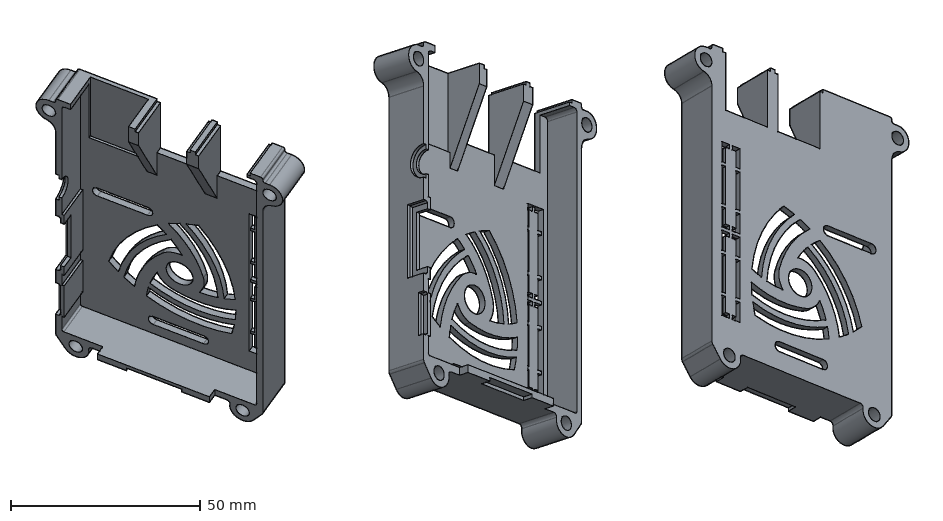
import cadquery as cq
import math


case_width = 62.0
case_length = 90.68
case_depth = 12.5
side_wall = 1.9
bottom_wall = 2.2
top_wall = 2.0
floor_thickness = 2.0
thin_floor = 1.25
top_corner_radius = 0.7
bottom_corner_radius = 1.5
cavity_top_radius = 1.0
cavity_bottom_radius = 0.6

half_width = case_width / 2
cavity_half_width = half_width - side_wall
cavity_top = case_length - top_wall

lug_radius = 3.89
lug_hole_diameter = 4.0
upper_lug_offset = 2.0
lower_lug_overhang = 5.57
upper_lug_x = half_width + upper_lug_offset
upper_lug_z = 85.13
lower_lug_x = 24.95
lower_lug_z = lug_radius - lower_lug_overhang
upper_lug_lower_fillet = 3.4
upper_lug_upper_fillet = 0.7
lower_lug_fillet = 1.0

usb_bay_width = 14.4
usb_bay_lefts = (-6.2, 11.8)
usb_bay_bottom = 72.3
usb_rebate = 1.0
ethernet_left = -26.5
ethernet_right = -9.17
ethernet_bottom = 68.06
divider_foot = 63.6
divider_shoulder = 84.8

tab_left = -16.9
tab_right = 16.6
tab_height = 3.0
tab_notch_width = 16.5
tab_notch_depth = 1.0

plug_recess = 1.0
plug_taper = 0.5
plug_pad = 0.7
hdmi_bottom = 25.0
hdmi_top = 45.8
hdmi_depth = 5.8
hdmi_pad_bottom = 23.9
hdmi_pad_top = 47.1
hdmi_hole_bottom = 27.2
hdmi_hole_top = 43.6
hdmi_hole_depth = 3.86
power_bottom = 7.8
power_top = 19.9
power_depth = 1.93
jack_z = 56.9
jack_recess_radius = 4.75
jack_hole_radius = 3.5

header_left = 21.37
header_right = 27.5
header_bottom = 9.57
header_top = 62.3
header_gap = 1.25
header_bridge = 1.0
bridge_inset = 6.6

slot_length = 18.0
slot_width = 3.0
slot_centers = ((-16.5, 48.35), (0.2, 7.15))
fan_x = 0.55
fan_z = 29.15
fan_hole_diameter = 8.0
blade_count = 3
blade_center_distance = 21.83
blade_center_angle = 195.0
blade_rings = ((29.2, 32.6), (34.5, 37.9))
blade_outer_radius = blade_rings[1][1]
blade_end_radius = 25.4
fan_hub_radius = blade_rings[0][0] - blade_center_distance


def block(x0, x1, depth0, depth1, z0, z1):
    """Box between two X, two Z and two depths in front of the back face."""
    return cq.Workplane("XY").box(x1 - x0, depth1 - depth0, z1 - z0, centered=False).translate(
        (x0, -depth1, z0)
    )


def disc(x, z, radius, depth):
    """Cylinder along -Y starting at the back face."""
    return cq.Workplane("XZ").center(x, z).circle(radius).extrude(depth)


def lower_lug_web(side):
    """Web between the outer corner of the case and the lower lug, tangent to the lug."""
    dx = half_width - lower_lug_x
    dz = -lower_lug_z
    reach = math.hypot(dx, dz)
    tangent_angle = math.atan2(dz, dx) - math.acos(lug_radius / reach)
    tangent_x = lower_lug_x + lug_radius * math.cos(tangent_angle)
    tangent_z = lower_lug_z + lug_radius * math.sin(tangent_angle)
    points = [
        (side * half_width, 0),
        (side * tangent_x, tangent_z),
        (side * lower_lug_x, lower_lug_z),
        (side * lower_lug_x, bottom_wall),
        (side * half_width, bottom_wall),
    ]
    return cq.Workplane("XZ").polyline(points).close().extrude(case_depth)


def upper_lug_web(side):
    """Web joining the upper lug to the side of the case, flush with the top of the lug."""
    x0, x1 = sorted((side * cavity_half_width, side * upper_lug_x))
    return block(x0, x1, 0, case_depth, upper_lug_z, upper_lug_z + lug_radius)


def solid_body():
    """Case and lugs before hollowing, with the lugs blended into the case."""
    body = block(-half_width, half_width, 0, case_depth, 0, case_length)
    body = body.edges("|Y and >Z").fillet(top_corner_radius)
    for side in (-1, 1):
        body = body.union(disc(side * upper_lug_x, upper_lug_z, lug_radius, case_depth))
        body = body.union(upper_lug_web(side))
        body = body.union(disc(side * lower_lug_x, lower_lug_z, lug_radius, case_depth))
        body = body.union(lower_lug_web(side))

    upper_reach = math.sqrt(lug_radius**2 - upper_lug_offset**2)
    lower_reach = math.sqrt(lug_radius**2 - lower_lug_z**2)
    blends = (
        (half_width, upper_lug_z - upper_reach, upper_lug_lower_fillet),
        (half_width, upper_lug_z + lug_radius, upper_lug_upper_fillet),
        (half_width, 0, bottom_corner_radius),
        (lower_lug_x - lower_reach, 0, lower_lug_fillet),
    )
    for side in (-1, 1):
        for x, z, radius in blends:
            corner = cq.selectors.NearestToPointSelector((side * x, -case_depth / 2, z))
            body = body.edges("|Y").edges(corner).fillet(radius)
    return body


def cavity():
    room = block(
        -cavity_half_width, cavity_half_width, floor_thickness, case_depth, bottom_wall, cavity_top
    )
    room = room.edges("|Y and >Z").fillet(cavity_top_radius)
    return room.edges("|Y and <Z").fillet(cavity_bottom_radius)


def lug_holes():
    centers = []
    for side in (-1, 1):
        centers.append((side * upper_lug_x, upper_lug_z))
        centers.append((side * lower_lug_x, lower_lug_z))
    return cq.Workplane("XZ").pushPoints(centers).circle(lug_hole_diameter / 2).extrude(case_depth)


def divider(x0, x1):
    """Wall between two bays, sloping down to the floor away from the ports."""
    points = [
        (0, divider_foot),
        (-floor_thickness, divider_foot),
        (-case_depth, divider_shoulder),
        (-case_depth, case_length),
        (0, case_length),
    ]
    return cq.Workplane("YZ").polyline(points).close().extrude(x1 - x0).translate((x0, 0, 0))


def usb_bay(left):
    """Opening for one USB socket, with a rebate along its sides at the top edge."""
    right = left + usb_bay_width
    opening = block(left, right, 0, case_depth, usb_bay_bottom, case_length)
    rebate = block(
        left - usb_rebate, right + usb_rebate, 0, case_depth, case_length - usb_rebate, case_length
    )
    return opening.union(rebate)


def locking_tab():
    tip = case_depth + tab_height
    tab = block(tab_left, tab_right, case_depth, tip, 0, bottom_wall)
    notch = block(
        -tab_notch_width / 2, tab_notch_width / 2, case_depth, tip, 0, tab_notch_depth
    )
    return tab.cut(notch)


def plug_pocket(depth, bottom, top):
    """Recess for a plug in the left wall, open to the front, narrowing over its last part."""
    front = case_depth
    straight = block(
        -half_width, -half_width + plug_recess, front - depth, front, bottom, top
    )
    height = top - bottom
    taper = (
        cq.Workplane("YZ")
        .center(-front, (bottom + top) / 2)
        .rect(2 * depth, height)
        .workplane(offset=plug_taper)
        .rect(2 * (depth - plug_taper), height - 2 * plug_taper)
        .loft(combine=True)
        .translate((-half_width + plug_recess, 0, 0))
    )
    return straight.union(taper)


def wall_pad(bottom, top):
    """Thickening on the inside of the left wall behind a plug recess."""
    return block(
        -cavity_half_width, -cavity_half_width + plug_pad, 0, case_depth, bottom, top
    )


def hdmi_hole():
    return block(
        -half_width,
        -cavity_half_width + plug_pad,
        case_depth - hdmi_hole_depth,
        case_depth,
        hdmi_hole_bottom,
        hdmi_hole_top,
    )


def audio_jack():
    wall_face = cq.Workplane("YZ").center(-case_depth, jack_z)
    recess = wall_face.circle(jack_recess_radius).extrude(plug_recess)
    hole = wall_face.circle(jack_hole_radius).extrude(side_wall)
    return recess.union(hole).translate((-half_width, 0, 0))


def header_window():
    """Pocket over the pin header, cut through around two panels held by thin bridges."""
    middle_x = (header_left + header_right) / 2
    middle_z = (header_bottom + header_top) / 2
    half_bridge = header_bridge / 2
    pocket = block(
        header_left, header_right, thin_floor, floor_thickness, header_bottom, header_top
    )
    gaps = block(header_left, header_right, 0, thin_floor, header_bottom, header_top)
    gaps = gaps.cut(
        block(header_left, header_right, 0, thin_floor, middle_z - half_bridge, middle_z + half_bridge)
    )
    gaps = gaps.cut(
        block(middle_x - half_bridge, middle_x + half_bridge, 0, thin_floor, header_bottom, header_top)
    )
    for bottom, top in (
        (header_bottom, middle_z - half_bridge),
        (middle_z + half_bridge, header_top),
    ):
        gaps = gaps.cut(
            block(
                header_left + header_gap,
                header_right - header_gap,
                0,
                thin_floor,
                bottom + header_gap,
                top - header_gap,
            )
        )
        for z in (bottom + bridge_inset, top - bridge_inset):
            gaps = gaps.cut(
                block(header_left, header_right, 0, thin_floor, z - half_bridge, z + half_bridge)
            )
    return pocket.union(gaps)


def hub_side(turn):
    """Quarter beside the hub where a blade's inner slot follows the hub circle.

    It starts at the line from the blade's arc center through the hub center, where the hub
    circle touches the inner edge of the slot.
    """
    size = blade_center_distance
    quarter = block(0, size, 0, floor_thickness, -size, 0)
    line_angle = blade_center_angle - 180 + turn
    quarter = quarter.rotate((0, 0, 0), (0, 1, 0), -line_angle)
    return quarter.translate((fan_x, 0, fan_z))


def blade_slots(turn):
    """The two curved slots of one fan blade, trimmed by the arcs of the other blades."""

    def blade_disc(step, radius):
        angle = math.radians(blade_center_angle + turn + step)
        x = fan_x + blade_center_distance * math.cos(angle)
        z = fan_z + blade_center_distance * math.sin(angle)
        return disc(x, z, radius, floor_thickness)

    pitch = 360 / blade_count
    inner_ring, outer_ring = blade_rings
    slots = blade_disc(0, outer_ring[1]).cut(blade_disc(0, outer_ring[0]))
    hub = disc(fan_x, fan_z, fan_hub_radius, floor_thickness)
    rib = blade_disc(0, inner_ring[0]).cut(hub_side(turn)).union(hub)
    slots = slots.union(blade_disc(0, inner_ring[1]).cut(rib))
    slots = slots.intersect(blade_disc(pitch, blade_outer_radius))
    return slots.intersect(blade_disc(-pitch, blade_end_radius))


def floor_vents():
    vents = disc(fan_x, fan_z, fan_hole_diameter / 2, floor_thickness)
    for blade in range(blade_count):
        vents = vents.union(blade_slots(blade * 360 / blade_count))
    slots = cq.Workplane("XZ").pushPoints(slot_centers).slot2D(slot_length, slot_width)
    return vents.union(slots.extrude(floor_thickness))


case = solid_body().cut(cavity()).cut(lug_holes())

first_usb, second_usb = usb_bay_lefts
case = case.union(divider(ethernet_right, first_usb))
case = case.union(divider(first_usb + usb_bay_width, second_usb))
for bay_left in usb_bay_lefts:
    case = case.cut(usb_bay(bay_left))
case = case.cut(
    block(ethernet_left, ethernet_right, thin_floor, case_depth, ethernet_bottom, case_length)
)

case = case.union(locking_tab())
case = case.union(wall_pad(hdmi_pad_bottom, hdmi_pad_top))
case = case.union(wall_pad(power_bottom, power_top))
case = case.cut(plug_pocket(hdmi_depth, hdmi_bottom, hdmi_top)).cut(hdmi_hole())
case = case.cut(plug_pocket(power_depth, power_bottom, power_top))
case = case.cut(audio_jack())

case = case.cut(header_window())
result = case.cut(floor_vents())